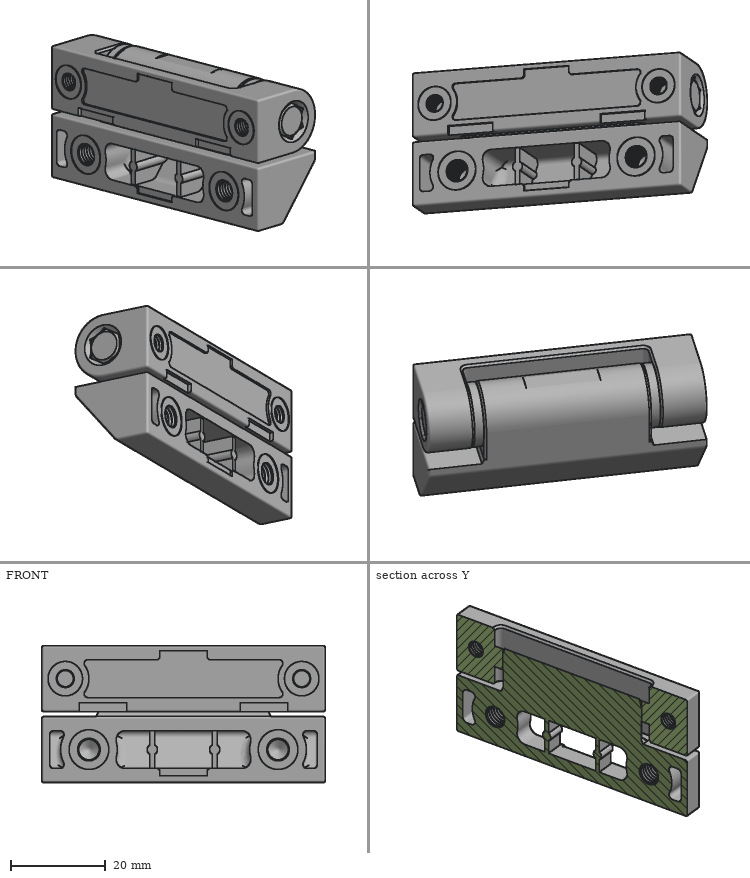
import cadquery as cq
import math


NearestTo = cq.selectors.NearestToPointSelector

length = 60.0
leaf_height = 14.0
leaf_gap = 1.0
knuckle_radius = leaf_height / 2
face_y = -11.0
back_y = knuckle_radius
leaf_depth = back_y - face_y
edge_break = 0.5
overshoot = 1.0

lower_top = -knuckle_radius - leaf_gap
lower_bottom = lower_top - leaf_height
lower_mid = lower_top - leaf_height / 2

slant_angle = 50.0
slant_top = lower_top - 2.0
slant_run = 1 / math.tan(math.radians(slant_angle))
slant_foot_y = back_y - (slant_top - lower_bottom) * slant_run
slant_rounding = 1.5

barrel_half = 18.0
barrel_chamfer = 0.5
slot_half = 20.0
slot_front_y = -8.0
slot_corner = 1.2
slot_chamfer = 0.5
collar_radius = 6.9
foot_flare = 1.0
foot_side_flare = 0.5
flat_length = 16.0
flat_width = 4.0

pin_flats = 7.0
pin_end_radius = 3.15
pin_sink = 0.5
pin_half = length / 2 - pin_sink
pin_corner_radius = pin_flats / math.sqrt(3)
pin_chamfer = pin_corner_radius - pin_end_radius
countersink_radius = 4.5

insert_recess = 0.2
groove_ratio = 0.54
upper_insert_x = 25.0
upper_insert_radius = 3.65
upper_thread = 4.2
upper_pitch = 0.7
upper_thread_depth = 6.0
lower_insert_x = 20.0
lower_insert_radius = 4.2
lower_thread = 5.2
lower_pitch = 0.8
lower_thread_depth = 8.0
lower_drill_tip = 1.4

shallow_depth = 0.5
notch_half = 5.0
notch_blend = 0.45
upper_notch = 1.9
lower_notch = 1.5
cover_half = 21.0
cover_clearance = 5.0
cover_rounding = 0.8
edge_recess_inner = 12.0
edge_recess_outer = 22.0
edge_recess_height = 1.9
edge_recess_depth = 0.8

pocket_half_height = 4.0
pocket_top = lower_mid + pocket_half_height
pocket_bottom = lower_mid - pocket_half_height
back_wall = 3.0
floor_lower_rounding = 2.0
floor_upper_rounding = 1.0
sleeve_radius = 6.0
main_pocket_corner = 2.0
main_sleeve_flare = 2.0
side_pocket_outer = 28.3
side_pocket_corner = 0.9
side_sleeve_flare = 1.0
side_floor_rounding = 0.5
rib_x = 6.6
rib_width = 1.1
rod_radius = 1.1


def box(x0, x1, y0, y1, z0, z1):
    """Box between two opposite corners."""
    return cq.Workplane("XY").box(x1 - x0, y1 - y0, z1 - z0, centered=False).translate((x0, y0, z0))


def along_x(radius, half_length):
    """Cylinder on the hinge axis, centred on X = 0."""
    return cq.Workplane("YZ").circle(radius).extrude(half_length, both=True)


def face_sketch():
    """Plane on the mounting face whose extrusion runs into the leaf."""
    return cq.Workplane(cq.Plane(origin=(0, face_y, 0), xDir=(-1, 0, 0), normal=(0, 1, 0)))


def face_disc(x, z, radius, depth):
    """Cylinder going from the mounting face into the leaf."""
    return face_sketch().center(-x, z).circle(radius).extrude(depth)


def threaded_hole(x, z, major, pitch, depth, tip=0.0):
    """Threaded blind hole as stacked V grooves; tip is the length of the drill point."""
    major_radius = major / 2
    minor_radius = major_radius - groove_ratio * pitch
    points = [(0, 0)]
    for turn in range(round(depth / pitch)):
        points.append((major_radius, turn * pitch))
        points.append((minor_radius, (turn + 0.5) * pitch))
    points += [(minor_radius, depth), (0, depth + tip)]
    profile = cq.Workplane("XY").polyline(points).close()
    return profile.revolve(360, (0, 0, 0), (0, 1, 0)).translate((x, face_y, z))


def notch(base_z, height):
    """Shallow centred notch that leaves a pocket edge at base_z; height is signed."""
    side = math.copysign(notch_blend, height)
    return (
        face_sketch()
        .moveTo(-notch_half - notch_blend, base_z - side)
        .lineTo(-notch_half - notch_blend, base_z)
        .lineTo(-notch_half, base_z + side)
        .lineTo(-notch_half, base_z + height)
        .lineTo(notch_half, base_z + height)
        .lineTo(notch_half, base_z + side)
        .lineTo(notch_half + notch_blend, base_z)
        .lineTo(notch_half + notch_blend, base_z - side)
        .close()
        .extrude(shallow_depth)
    )


def upper_block():
    """Block with a round back and rounded outer edges."""
    block = (
        cq.Workplane("YZ")
        .moveTo(face_y, -knuckle_radius)
        .lineTo(0, -knuckle_radius)
        .threePointArc((knuckle_radius, 0), (0, knuckle_radius))
        .lineTo(face_y, knuckle_radius)
        .close()
        .extrude(length / 2, both=True)
    )
    return block.faces("<Y or <X or >X").edges().fillet(edge_break)


def barrel_slot():
    """Slot for the barrel, open at the back."""
    slot = box(-slot_half, slot_half, slot_front_y, back_y + overshoot, -knuckle_radius, knuckle_radius)
    return slot.edges("|Z and <Y").fillet(slot_corner)


def slotted_block():
    """Upper leaf with the rims of its slot chamfered, also round the knuckles."""
    block = upper_block().cut(barrel_slot())
    rim_zone = cq.selectors.BoxSelector(
        (-slot_half - edge_break / 2, slot_front_y - edge_break / 2, -leaf_height),
        (slot_half + edge_break / 2, leaf_height, leaf_height),
    )
    return block.edges(rim_zone).edges("not |Z").chamfer(slot_chamfer)


def hexagon_bar(half_length):
    """Hexagonal bar on the hinge axis with corners at top and bottom."""
    bar = cq.Workplane("YZ").polygon(6, 2 * pin_corner_radius).extrude(half_length, both=True)
    return bar.rotate((0, 0, 0), (1, 0, 0), 90)


def hinge_pin():
    """Round pin with chamfered hexagonal ends."""
    ends = along_x(pin_corner_radius, pin_half).faces("<X or >X").chamfer(pin_chamfer)
    ends = ends.intersect(hexagon_bar(pin_half)).cut(along_x(pin_corner_radius, slot_half))
    return ends.union(along_x(pin_flats / 2, slot_half))


def pin_mouths():
    """Countersinks and the hexagonal openings that leave the pin's chamfers free."""
    depth = countersink_radius - pin_flats / 2
    cone = cq.Workplane("YZ").workplane(offset=-length / 2).circle(countersink_radius).extrude(depth, taper=45)
    opening = hexagon_bar(length / 2).cut(along_x(pin_corner_radius, pin_half - pin_chamfer))
    return opening.union(cone).union(cone.mirror("YZ"))


def cover_recess():
    """Shallow recess whose hollow ends run round the inserts."""
    recess = face_sketch().rect(2 * cover_half, 2 * pocket_half_height).extrude(shallow_depth)
    recess = recess.edges("|Y").fillet(cover_rounding)
    for x in (-upper_insert_x, upper_insert_x):
        recess = recess.cut(face_disc(x, 0, cover_clearance, shallow_depth))
    return recess.union(notch(pocket_half_height, upper_notch))


def lower_edge_recesses():
    """Pair of recesses along the lower edge of the mounting face."""
    recess = box(edge_recess_inner, edge_recess_outer, face_y, face_y + edge_recess_depth,
                 -knuckle_radius, edge_recess_height - knuckle_radius)
    return recess.union(recess.mirror("YZ"))


def collars():
    """Round collars between the knuckles and the barrel."""
    return along_x(collar_radius, slot_half).cut(along_x(collar_radius, barrel_half))


upper_leaf = slotted_block().cut(pin_mouths())
upper_leaf = upper_leaf.cut(cover_recess()).cut(lower_edge_recesses())
upper_leaf = upper_leaf.union(collars()).union(hinge_pin())
for x in (-upper_insert_x, upper_insert_x):
    upper_leaf = upper_leaf.cut(face_disc(x, 0, upper_insert_radius, insert_recess))
    upper_leaf = upper_leaf.cut(threaded_hole(x, 0, upper_thread, upper_pitch, upper_thread_depth))


def lower_block():
    """Block with a slanted back and rounded outer edges."""
    block = (
        cq.Workplane("YZ")
        .moveTo(face_y, lower_bottom)
        .lineTo(slant_foot_y, lower_bottom)
        .lineTo(back_y, slant_top)
        .lineTo(back_y, lower_top)
        .lineTo(face_y, lower_top)
        .close()
        .extrude(length / 2, both=True)
    )
    for y, z in ((slant_foot_y, lower_bottom), (back_y, slant_top)):
        block = block.edges(NearestTo((0, y, z))).fillet(slant_rounding)
    return block.faces("<Y or <X or >X").edges().fillet(edge_break)


def barrel():
    """Barrel with straight sides running down into the lower leaf."""
    body = (
        cq.Workplane("YZ")
        .moveTo(-knuckle_radius, lower_top - overshoot)
        .lineTo(-knuckle_radius, 0)
        .threePointArc((0, knuckle_radius), (knuckle_radius, 0))
        .lineTo(knuckle_radius, lower_top - overshoot)
        .close()
        .extrude(barrel_half, both=True)
    )
    body = body.faces("<X or >X").edges("not <Z").chamfer(barrel_chamfer)
    flat_z = math.sqrt(knuckle_radius ** 2 - (flat_width / 2) ** 2)
    flat = box(-flat_length / 2, flat_length / 2, -flat_width / 2, flat_width / 2, flat_z, knuckle_radius)
    return body.cut(flat)


def barrel_foot():
    """Foot of the barrel, flaring out toward the lower leaf on three sides."""
    foot = (
        cq.Workplane("XY").workplane(offset=lower_top)
        .rect(2 * (barrel_half + foot_side_flare), 2 * (knuckle_radius + foot_flare))
        .workplane(offset=leaf_gap)
        .rect(2 * barrel_half, 2 * knuckle_radius)
        .loft()
    )
    trim = box(-length / 2, length / 2, back_y, back_y + leaf_depth, lower_bottom, 0)
    return foot.cut(trim)


def inner_back_y(z):
    """Y of the inner face of the slanted back at height z."""
    return back_y - (slant_top - z) * slant_run - back_wall / math.sin(math.radians(slant_angle))


def slanted_room():
    """Space inside the lower leaf that keeps an even wall in front of the slanted back."""
    room = (
        cq.Workplane("YZ")
        .moveTo(face_y, pocket_bottom)
        .lineTo(inner_back_y(pocket_bottom), pocket_bottom)
        .lineTo(inner_back_y(pocket_top), pocket_top)
        .lineTo(face_y, pocket_top)
        .close()
        .extrude(side_pocket_outer, both=True)
    )
    for z, radius in ((pocket_bottom, floor_lower_rounding), (pocket_top, floor_upper_rounding)):
        room = room.edges(NearestTo((0, inner_back_y(z), z))).fillet(radius)
    for x in (-side_pocket_outer, side_pocket_outer):
        room = room.edges(NearestTo((x, inner_back_y(lower_mid), lower_mid))).fillet(side_floor_rounding)
    return room


def insert_sleeves():
    """Material kept around the lower inserts."""
    sleeves = face_disc(lower_insert_x, lower_mid, sleeve_radius, leaf_depth)
    return sleeves.union(sleeves.mirror("YZ"))


def flared_sleeves(flare_radius):
    """Insert sleeves that spread into the inner face of the slanted back."""
    high = lower_top + leaf_height
    low = lower_bottom - leaf_height
    back = (
        cq.Workplane("YZ")
        .moveTo(inner_back_y(low), low)
        .lineTo(inner_back_y(high), high)
        .lineTo(inner_back_y(high), low)
        .close()
        .extrude(length, both=True)
    )
    sleeves = back
    for x in (-lower_insert_x, lower_insert_x):
        sleeves = sleeves.union(face_disc(x, lower_mid, sleeve_radius, leaf_depth))
    for x in (-lower_insert_x, lower_insert_x):
        sleeves = sleeves.edges(NearestTo((x + sleeve_radius, inner_back_y(lower_mid), lower_mid)))
        sleeves = sleeves.fillet(flare_radius)
    return sleeves


def pocket(inner_x, outer_x, rounding, flare_radius):
    """Pocket between two X positions, held clear of the insert sleeves."""
    outline = box(inner_x, outer_x, face_y, back_y, pocket_bottom, pocket_top)
    outline = outline.cut(insert_sleeves()).edges("|Y").fillet(rounding)
    return outline.intersect(slanted_room()).cut(flared_sleeves(flare_radius))


def main_pocket():
    """Central pocket with two ribs, each carrying a round rod."""
    room = pocket(-lower_insert_x, lower_insert_x, main_pocket_corner, main_sleeve_flare)
    for x in (-rib_x, rib_x):
        rib = box(x - rib_width / 2, x + rib_width / 2, face_y + shallow_depth, back_y,
                  lower_bottom, lower_top)
        rod = face_disc(x, lower_mid, rod_radius, leaf_depth)
        rod = rod.cut(face_disc(x, lower_mid, rod_radius, shallow_depth))
        room = room.cut(rib).cut(rod)
    return room


def side_pocket():
    """Small pocket between an insert and the end of the leaf."""
    return pocket(lower_insert_x, side_pocket_outer, side_pocket_corner, side_sleeve_flare)


lower_leaf = lower_block().union(barrel_foot()).union(barrel())
lower_leaf = lower_leaf.cut(along_x(pin_flats / 2, barrel_half))
lower_leaf = lower_leaf.cut(main_pocket()).cut(side_pocket()).cut(side_pocket().mirror("YZ"))
lower_leaf = lower_leaf.cut(notch(pocket_bottom, -lower_notch))
for x in (-lower_insert_x, lower_insert_x):
    lower_leaf = lower_leaf.cut(face_disc(x, lower_mid, lower_insert_radius, insert_recess))
    hole = threaded_hole(x, lower_mid, lower_thread, lower_pitch, lower_thread_depth, lower_drill_tip)
    lower_leaf = lower_leaf.cut(hole)

result = cq.Compound.makeCompound([upper_leaf.val(), lower_leaf.val()])